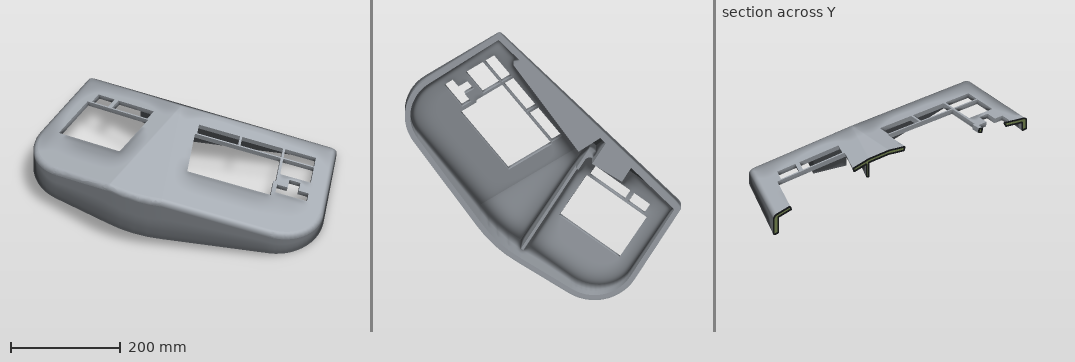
import cadquery as cq
import math


APEX_HEIGHT = 83.5
TILT = 5
TENT = 12.4
RIDGE_LENGTH = 250.0
CORNER_RADIUS = 86.0
EDGE_RADIUS = 10.0
SHELL = 10.0
OPENING_DEPTH = 1.1 * SHELL

LEFT, RIGHT = -1, 1
SIDES = (LEFT, RIGHT)
SPLAY = {LEFT: 12.6, RIGHT: 11.8}
WIDTH = {LEFT: 204.0, RIGHT: 294.5}

ROW_BACK, ROW_FRONT = 35.0, 57.0
FIELD_BACK, FIELD_FRONT = 60.0, 155.5
INNER_SLOT = (38.5, 116.0)
OUTER_SLOT = {LEFT: (124.5, 160.0), RIGHT: (120.5, 198.0)}
FIELD_NEAR = 34.5
LEFT_FIELD_FAR = 168.0
RIGHT_FIELD_FAR_BACK, RIGHT_FIELD_FAR_FRONT = 197.5, 193.0
PAD_NEAR, PAD_FAR = 202.0, 260.5
PAD_FRONT = 98.5
FIELD_STEP = 119.0
ARROW_BACK, ARROW_MIDDLE, ARROW_FRONT = 106.5, 126.0, 146.0
ARROW_NEAR = 200.5
ARROW_STEM = (221.0, 241.5)

BLOCK_NEAR = 15.0
BLOCK_FAR = {LEFT: 81.0, RIGHT: 227.5}
BLOCK_FRONT = 14.0
BLOCK_REACH = 66.0
RIB_THICKNESS = 5.5
RIB_BOTTOM = 46.5
LEG_LENGTH = 47.0
LEG_BOTTOM = 30.0
LEG_RADIUS = 10.0

TALL = 164.5
FAR = 1096.0


def deck_plane():
    """Plane of the middle deck, which tilts only towards the back."""
    tilt = math.radians(TILT)
    normal = (0, math.sin(tilt), math.cos(tilt))
    return cq.Plane(origin=(0, 0, APEX_HEIGHT), xDir=(1, 0, 0), normal=normal)


def wing_plane(side):
    """Top plane of a wing: local X follows the back edge, local -Y the ridge."""
    return deck_plane().rotated((0, 0, side * SPLAY[side])).rotated((0, side * TENT, 0))


def wing_point(side, out, forward):
    return wing_plane(side).toWorldCoords((side * out, -forward, 0))


def plan_point(side, out, forward):
    """A point on a wing, dropped straight down onto the base."""
    point = wing_point(side, out, forward)
    return (point.x, point.y)


def back_plane():
    """Sloping triangle through the apex and the two outer back corners."""
    apex = wing_point(LEFT, 0, 0)
    to_left = wing_point(LEFT, WIDTH[LEFT], 0) - apex
    to_right = wing_point(RIGHT, WIDTH[RIGHT], 0) - apex
    return cq.Plane(origin=apex, xDir=to_right, normal=to_right.cross(to_left))


def footprint_prism():
    """Upright prism over the outline, with its front bulge centred on the apex."""
    prism = (
        cq.Workplane()
        .moveTo(*plan_point(LEFT, WIDTH[LEFT], 0))
        .lineTo(*plan_point(LEFT, WIDTH[LEFT], RIDGE_LENGTH))
        .lineTo(*plan_point(LEFT, 0, RIDGE_LENGTH))
        .threePointArc((0, -RIDGE_LENGTH * math.cos(math.radians(TILT))), plan_point(RIGHT, 0, RIDGE_LENGTH))
        .lineTo(*plan_point(RIGHT, WIDTH[RIGHT], RIDGE_LENGTH))
        .lineTo(*plan_point(RIGHT, WIDTH[RIGHT], 0))
        .close()
        .extrude(TALL)
    )
    for side in SIDES:
        corner = plan_point(side, WIDTH[side], RIDGE_LENGTH) + (TALL / 2,)
        prism = prism.edges(cq.selectors.NearestToPointSelector(corner)).fillet(CORNER_RADIUS)
    return prism


def trim_top(prism, depth):
    """Keep what lies at least a given depth below every top plane."""
    for plane in (deck_plane(), wing_plane(LEFT), wing_plane(RIGHT), back_plane()):
        below = cq.Workplane(plane).workplane(offset=-depth).rect(FAR, FAR).extrude(-FAR)
        prism = prism.intersect(below)
    return prism


def cavity():
    outline = footprint_prism().faces("<Z").wires().val()
    return trim_top(cq.Workplane(outline).toPending().offset2D(-SHELL).extrude(TALL), SHELL)


def round_edges(body):
    """Round every top edge except the one above the rear wall."""
    top_edges = body.edges("not(|Z or <Z)").edges("not >Y")
    return top_edges.fillet(EDGE_RADIUS)


def rectangle(near, far, back, front):
    return [(near, back), (far, back), (far, front), (near, front)]


def upright(side, near, far, back, front, bottom):
    """Upright bar set square to a wing, from a bottom level to above the part."""
    corners = rectangle(near, far, back, front)
    points = [plan_point(side, out, forward) for out, forward in corners]
    return cq.Workplane().workplane(offset=bottom).polyline(points).close().extrude(TALL)


def rear_block(side):
    """Block standing on the base, between a wing's back edge and the rear wall."""
    return upright(side, BLOCK_NEAR, BLOCK_FAR[side], -BLOCK_REACH, BLOCK_FRONT, 0)


def ridge_rib():
    """Rib hanging along the left ridge, with a deeper leg joined to a short back wall."""
    rib = upright(LEFT, 0, RIB_THICKNESS, 0, RIDGE_LENGTH - SHELL / 2, RIB_BOTTOM)
    leg = upright(LEFT, 0, RIB_THICKNESS, 0, LEG_LENGTH, LEG_BOTTOM)
    wall = upright(LEFT, 0, BLOCK_FAR[LEFT], 0, BLOCK_FRONT, LEG_BOTTOM)
    corner = plan_point(LEFT, RIB_THICKNESS, BLOCK_FRONT) + (LEG_BOTTOM + TALL / 2,)
    bracket = leg.union(wall).edges(cq.selectors.NearestToPointSelector(corner)).fillet(LEG_RADIUS)
    return rib.union(bracket)


def stepped_field():
    """Right key field, narrower in front of its step."""
    return [
        (FIELD_NEAR, FIELD_BACK),
        (RIGHT_FIELD_FAR_BACK, FIELD_BACK),
        (RIGHT_FIELD_FAR_BACK, FIELD_STEP),
        (RIGHT_FIELD_FAR_FRONT, FIELD_STEP),
        (RIGHT_FIELD_FAR_FRONT, FIELD_FRONT),
        (FIELD_NEAR, FIELD_FRONT),
    ]


def arrow_keys():
    """Upside-down T for the four arrow keys."""
    stem_near, stem_far = ARROW_STEM
    return [
        (stem_near, ARROW_BACK),
        (stem_far, ARROW_BACK),
        (stem_far, ARROW_MIDDLE),
        (PAD_FAR, ARROW_MIDDLE),
        (PAD_FAR, ARROW_FRONT),
        (ARROW_NEAR, ARROW_FRONT),
        (ARROW_NEAR, ARROW_MIDDLE),
        (stem_near, ARROW_MIDDLE),
    ]


OPENINGS = {
    LEFT: [
        rectangle(*INNER_SLOT, ROW_BACK, ROW_FRONT),
        rectangle(*OUTER_SLOT[LEFT], ROW_BACK, ROW_FRONT),
        rectangle(FIELD_NEAR, LEFT_FIELD_FAR, FIELD_BACK, FIELD_FRONT),
    ],
    RIGHT: [
        rectangle(*INNER_SLOT, ROW_BACK, ROW_FRONT),
        rectangle(*OUTER_SLOT[RIGHT], ROW_BACK, ROW_FRONT),
        rectangle(PAD_NEAR, PAD_FAR, ROW_BACK, ROW_FRONT),
        rectangle(PAD_NEAR, PAD_FAR, FIELD_BACK, PAD_FRONT),
        stepped_field(),
        arrow_keys(),
    ],
}


def opening(side, outline):
    points = [(side * out, -forward) for out, forward in outline]
    return cq.Workplane(wing_plane(side)).polyline(points).close().extrude(-OPENING_DEPTH)


outer = round_edges(trim_top(footprint_prism(), 0))
result = outer.cut(cavity())
for inner_part in (ridge_rib(), rear_block(LEFT), rear_block(RIGHT)):
    result = result.union(inner_part.intersect(outer))
for side in SIDES:
    for outline in OPENINGS[side]:
        result = result.cut(opening(side, outline))